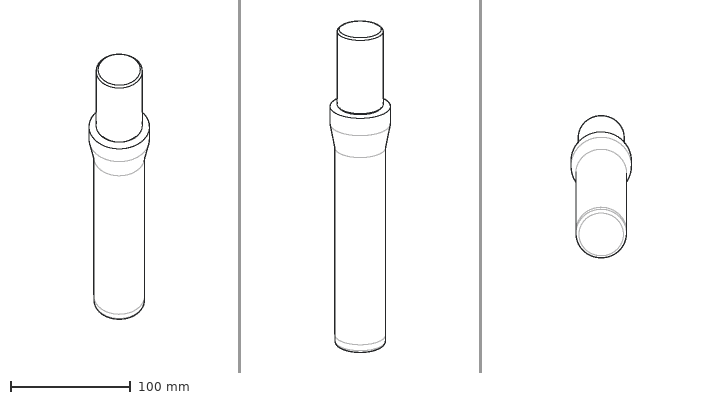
import cadquery as cq

total_height = 286.3
collar_top = 216.0
collar_bottom = 200.5
cone_bottom = 178.5
lead_height = 8.0

collar_radius = 50.7 / 2
sleeve_radius = 42.7 / 2
tip_radius = 42.5 / 2
pin_radius = 38.6 / 2

pin_chamfer = 1.7
sleeve_end_round = 2.5


def make_sleeve():
    """Round shank with a slightly tapered, rounded lower end, widening through a cone to the collar."""
    profile = (
        cq.Workplane("XZ")
        .moveTo(0, 0)
        .lineTo(tip_radius - sleeve_end_round, 0)
        .radiusArc((tip_radius, sleeve_end_round), -sleeve_end_round)
        .lineTo(sleeve_radius, lead_height)
        .lineTo(sleeve_radius, cone_bottom)
        .lineTo(collar_radius, collar_bottom)
        .lineTo(collar_radius, collar_top)
        .lineTo(0, collar_top)
        .close()
    )
    return profile.revolve(360, (0, 0, 0), (0, 1, 0))


def make_pin():
    """Cylinder chamfered at both ends, standing on the collar."""
    return (
        cq.Workplane("XY", origin=(0, 0, collar_top))
        .circle(pin_radius)
        .extrude(total_height - collar_top)
        .faces("<Z or >Z")
        .chamfer(pin_chamfer)
    )


sleeve = make_sleeve()
pin = make_pin()

result = cq.Compound.makeCompound([sleeve.val(), pin.val()])